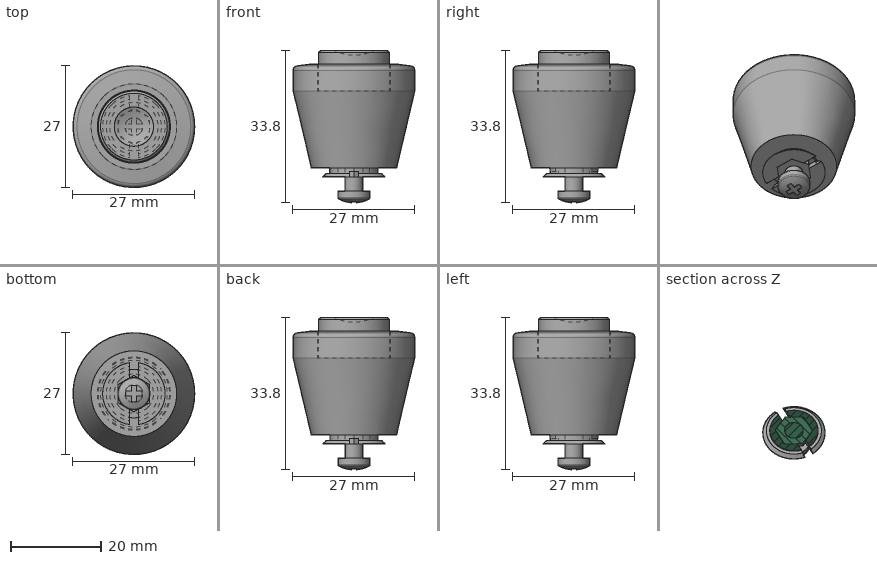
import cadquery as cq
import math

SLOT_FLOOR_Z = 0.2
CROWN_EDGE_Z = 0.85
HEAD_EDGE_Z = 1.18
HEAD_TOP_Z = 2.55
FLANGE_BOTTOM_Z = 5.75
FLANGE_TOP_Z = 6.55
NOTCH_TOP_Z = 6.95
HOUSING_BOTTOM_Z = 7.75
BAND_BOTTOM_Z = 24.75
SHOULDER_TOP_Z = 30.75
TOP_Z = 33.75

HOUSING_RADIUS = 13.5
HOUSING_FLAT_RADIUS = 9.5
SHOULDER_SLOPE = 7.1
SHOULDER_ROUND = 1.0

BUTTON_RADIUS = 7.9
BUTTON_SEAT_Z = BAND_BOTTOM_Z
BUTTON_CLEARANCE = 0.2
BUTTON_BEVEL_WIDTH = 0.5
BUTTON_BEVEL_HEIGHT = 0.45
DISH_RADIUS = 4.35
DISH_DEPTH = 1.05

SLEEVE_RADIUS = 5.37
FLANGE_RADIUS = 6.92
NOTCH_WIDTH = 2.0

NUT_ACROSS_FLATS = 7.0
NUT_CORNER_DIAMETER = NUT_ACROSS_FLATS / math.cos(math.radians(30))

SHANK_RADIUS = 2.0
HEAD_RADIUS = 3.55
CROWN_EDGE_RADIUS = 3.38
SLOT_WIDTH = 1.1


def cylinder(radius, bottom, top):
    return cq.Workplane("XY", origin=(0, 0, bottom)).circle(radius).extrude(top - bottom)


def hexagon(bottom, top):
    """Hexagonal prism with corners on the +Y and -Y sides."""
    base = cq.Workplane("XY", origin=(0, 0, bottom)).polygon(6, NUT_CORNER_DIAMETER)
    return base.extrude(top - bottom).rotate((0, 0, 0), (0, 0, 1), 30)


def revolve_profile(profile):
    """Turn a closed radius-height outline around the Z axis."""
    return profile.close().revolve(360, (0, 0), (0, 1))


def make_housing():
    slope = math.radians(SHOULDER_SLOPE)
    slope_edge_radius = HOUSING_RADIUS - SHOULDER_ROUND * (1 - math.sin(slope))
    slope_edge_z = SHOULDER_TOP_Z - (slope_edge_radius - HOUSING_FLAT_RADIUS) * math.tan(slope)
    band_top_z = slope_edge_z - SHOULDER_ROUND * math.cos(slope)
    body = revolve_profile(
        cq.Workplane("XZ")
        .moveTo(0, HOUSING_BOTTOM_Z)
        .lineTo(HOUSING_FLAT_RADIUS, HOUSING_BOTTOM_Z)
        .lineTo(HOUSING_RADIUS, BAND_BOTTOM_Z)
        .lineTo(HOUSING_RADIUS, band_top_z)
        .tangentArcPoint((slope_edge_radius, slope_edge_z), relative=False)
        .lineTo(HOUSING_FLAT_RADIUS, SHOULDER_TOP_Z)
        .lineTo(0, SHOULDER_TOP_Z)
    )
    return body.cut(cylinder(BUTTON_RADIUS + BUTTON_CLEARANCE, BUTTON_SEAT_Z, SHOULDER_TOP_Z))


def make_button():
    button = revolve_profile(
        cq.Workplane("XZ")
        .moveTo(0, BUTTON_SEAT_Z)
        .lineTo(BUTTON_RADIUS, BUTTON_SEAT_Z)
        .lineTo(BUTTON_RADIUS, TOP_Z - BUTTON_BEVEL_HEIGHT)
        .lineTo(BUTTON_RADIUS - BUTTON_BEVEL_WIDTH, TOP_Z)
        .lineTo(0, TOP_Z)
    )
    dish_sphere_radius = (DISH_RADIUS**2 + DISH_DEPTH**2) / (2 * DISH_DEPTH)
    dish_center_z = TOP_Z - DISH_DEPTH + dish_sphere_radius
    dish = cq.Workplane("XY", origin=(0, 0, dish_center_z)).sphere(dish_sphere_radius)
    return button.cut(dish)


def make_sleeve():
    flange_bevel = FLANGE_TOP_Z - FLANGE_BOTTOM_Z
    sleeve = revolve_profile(
        cq.Workplane("XZ")
        .moveTo(0, FLANGE_BOTTOM_Z)
        .lineTo(FLANGE_RADIUS, FLANGE_BOTTOM_Z)
        .lineTo(FLANGE_RADIUS - flange_bevel, FLANGE_TOP_Z)
        .lineTo(SLEEVE_RADIUS, FLANGE_TOP_Z)
        .lineTo(SLEEVE_RADIUS, HOUSING_BOTTOM_Z)
        .lineTo(0, HOUSING_BOTTOM_Z)
    )
    notch = (
        cq.Workplane("XY", origin=(0, 0, FLANGE_BOTTOM_Z))
        .rect(NOTCH_WIDTH, 2 * FLANGE_RADIUS)
        .extrude(NOTCH_TOP_Z - FLANGE_BOTTOM_Z)
    )
    return sleeve.cut(notch).cut(hexagon(FLANGE_BOTTOM_Z, HOUSING_BOTTOM_Z))


def make_nut():
    bore = cylinder(SHANK_RADIUS, FLANGE_BOTTOM_Z, HOUSING_BOTTOM_Z)
    return hexagon(FLANGE_BOTTOM_Z, HOUSING_BOTTOM_Z).cut(bore)


def make_screw():
    corner_radius = SLOT_WIDTH / math.sqrt(2)
    crown_center_z = (CROWN_EDGE_RADIUS**2 + CROWN_EDGE_Z**2 - corner_radius**2) / (2 * CROWN_EDGE_Z)
    crown_bottom_z = crown_center_z - math.hypot(crown_center_z, corner_radius)

    crown_sphere_radius = crown_center_z - crown_bottom_z
    half_angle = math.asin(CROWN_EDGE_RADIUS / crown_sphere_radius) / 2
    crown_middle = (
        crown_sphere_radius * math.sin(half_angle),
        crown_center_z - crown_sphere_radius * math.cos(half_angle),
    )
    screw = revolve_profile(
        cq.Workplane("XZ")
        .moveTo(0, crown_bottom_z)
        .threePointArc(crown_middle, (CROWN_EDGE_RADIUS, CROWN_EDGE_Z))
        .tangentArcPoint((HEAD_RADIUS, HEAD_EDGE_Z), relative=False)
        .lineTo(HEAD_RADIUS, HEAD_TOP_Z)
        .lineTo(SHANK_RADIUS, HEAD_TOP_Z)
        .lineTo(SHANK_RADIUS, HOUSING_BOTTOM_Z)
        .lineTo(0, HOUSING_BOTTOM_Z)
    )
    slot = (
        cq.Workplane("XY", origin=(0, 0, SLOT_FLOOR_Z))
        .rect(SLOT_WIDTH, 2 * HEAD_RADIUS)
        .extrude(crown_bottom_z - SLOT_FLOOR_Z)
    )
    for angle in (0, 90):
        screw = screw.cut(slot.rotate((0, 0, 0), (0, 0, 1), angle))
    return screw


housing = make_housing()
button = make_button()
sleeve = make_sleeve()
nut = make_nut()
screw = make_screw()

result = cq.Compound.makeCompound(
    [housing.val(), button.val(), sleeve.val(), nut.val(), screw.val()]
)